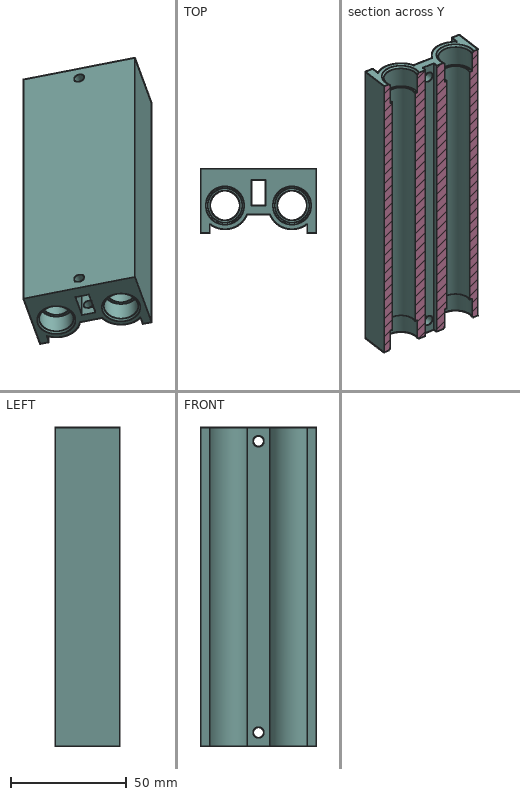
import cadquery as cq
import math

width = 50.0
depth = 28.0
height = 138.0
back_y = depth / 2
front_y = -depth / 2

leg_width = 4.0
web_thickness = 20.0
web_y = back_y - web_thickness
lobe_radius = 10.35

bore_spacing = 29.0
bore_back_distance = 16.0
bore_y = back_y - bore_back_distance
bore_diameter = 12.7
seat_diameter = 14.9
seat_depth = 10.0
mouth_chamfer = 0.85

channel_width = 6.0
channel_depth = 11.0
channel_wall = 5.0
channel_y = back_y - channel_wall - channel_depth / 2

mount_diameter = 4.5
mount_end_distance = 6.0

bore_positions = [(side * bore_spacing / 2, bore_y) for side in (-1, 1)]


def lobe_offset(distance):
    """Offset of the lobe surface from its axis at a given distance along the other direction."""
    return math.sqrt(lobe_radius**2 - distance**2)


def make_body():
    lobe_x = bore_spacing / 2
    half_width = width / 2
    half_web = lobe_x - lobe_offset(bore_y - web_y)
    leg_x = half_width - leg_width
    leg_root_y = bore_y - lobe_offset(leg_x - lobe_x)
    lobe_tip_y = bore_y - lobe_radius
    return (
        cq.Workplane("XY")
        .moveTo(-half_width, back_y)
        .lineTo(-half_width, front_y)
        .lineTo(-leg_x, front_y)
        .lineTo(-leg_x, leg_root_y)
        .threePointArc((-lobe_x, lobe_tip_y), (-half_web, web_y))
        .lineTo(half_web, web_y)
        .threePointArc((lobe_x, lobe_tip_y), (leg_x, leg_root_y))
        .lineTo(leg_x, front_y)
        .lineTo(half_width, front_y)
        .lineTo(half_width, back_y)
        .close()
        .extrude(height)
    )


def make_bore():
    """Stepped bore about the Z axis, as a solid of revolution to cut away."""
    bore_radius = bore_diameter / 2
    seat_radius = seat_diameter / 2
    mouth_radius = seat_radius + mouth_chamfer
    return (
        cq.Workplane("XZ")
        .moveTo(0, 0)
        .lineTo(mouth_radius, 0)
        .lineTo(seat_radius, mouth_chamfer)
        .lineTo(seat_radius, seat_depth)
        .lineTo(bore_radius, seat_depth)
        .lineTo(bore_radius, height - seat_depth)
        .lineTo(seat_radius, height - seat_depth)
        .lineTo(seat_radius, height - mouth_chamfer)
        .lineTo(mouth_radius, height)
        .lineTo(0, height)
        .close()
        .revolve(360, (0, 0), (0, 1))
    )


def make_channel():
    return (
        cq.Workplane("XY")
        .center(0, channel_y)
        .rect(channel_width, channel_depth)
        .extrude(height)
    )


def make_mount_holes():
    end_heights = [mount_end_distance, height - mount_end_distance]
    return (
        cq.Workplane("XZ", origin=(0, back_y, 0))
        .pushPoints([(0, z) for z in end_heights])
        .circle(mount_diameter / 2)
        .extrude(depth)
    )


result = make_body().cut(make_channel()).cut(make_mount_holes())
for x, y in bore_positions:
    result = result.cut(make_bore().translate((x, y, 0)))